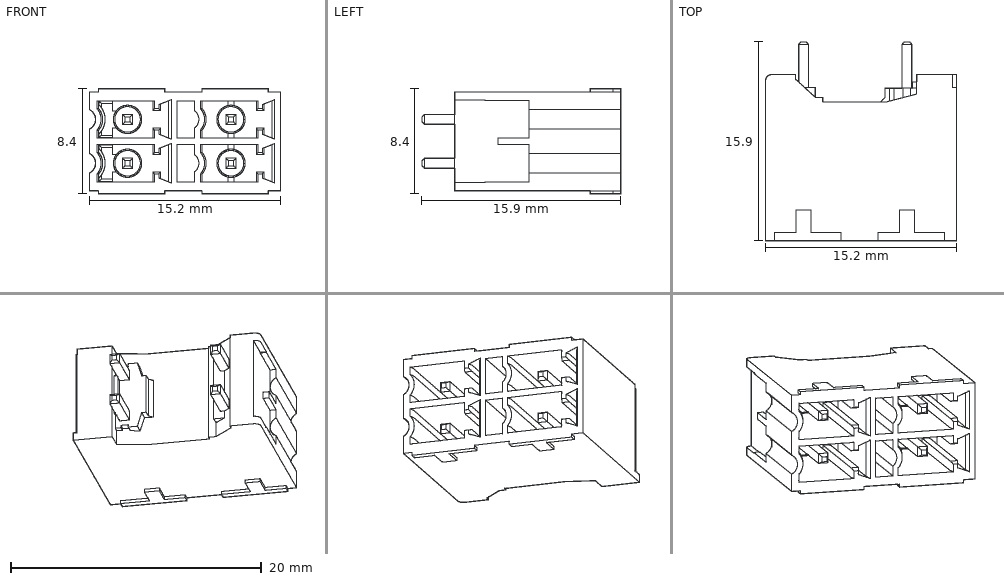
import cadquery as cq


WIDTH = 15.24
DEPTH = 13.27
HEIGHT = 7.9
LEFT = -WIDTH / 2
RIGHT = WIDTH / 2
TOP = HEIGHT / 2
BACK_CORNER_RADIUS = 0.5

PITCH_X = 8.25
PITCH_Z = 3.5
PIN_INSET = 3.04
COLUMN_EDGES = [LEFT, LEFT + PITCH_X]
ROW_CENTRES = [-PITCH_Z / 2, PITCH_Z / 2]

PIN_SIZE = 0.8
PIN_FRONT = 1.05
PIN_BACK = 15.87
PIN_TIP_INSET = 0.2
PIN_MATING_TAPER = 0.4
PIN_SOLDER_TAPER = 0.2
BOSS_RADIUS = 1.13
BOSS_LENGTH = 1.5
BOSS_CHAMFER = 0.11

KEY_HEIGHT = 0.25
KEY_INSET = 0.72
KEY_WIDTH = 5.3
KEY_BAR_DEPTH = 0.65
KEY_STEM_WIDTH = 1.22
KEY_STEM_DEPTH = 2.45

POCKET_DEPTH = 8.5
LEAD_IN = 0.45
POCKET_HALF_HEIGHT = 1.48
POCKET_LEFT = 0.59
POCKET_RIGHT = 6.3
LEFT_LEAD = 0.13
RIGHT_LEAD = 0.23
BULGE_HALF_CHORD = 0.87
BULGE_HEIGHT = 0.34
RAIL_LEFT = 5.06
RAIL_RIGHT = 5.66
RAIL_GAP = 0.7
RAIL_SIDE_LEAD = 0.12
RAIL_TIP_LEAD = 0.16
FLARE_SLOPE = 0.4

FLOOR_RECESS_DEPTH = 0.3
FLOOR_RECESS_LEFT = 0.77
FLOOR_RECESS_RIGHT = 1.85
FLOOR_RECESS_HALF_HEIGHT = 1.45
FLOOR_RECESS_TAPER = 0.18
FLOOR_BULGE_PEAK = 1.25
FLOOR_CHANNEL_HALF_HEIGHT = 0.68
FLOOR_GROOVE_WIDTH = 0.5
FLOOR_GROOVE_DEPTH = 0.2

GROOVE_RADIUS = 0.86
GROOVE_DEPTH = 0.48
GROOVE_LENGTH = 7.35
SLOT_LEFT = 6.98
SLOT_RIGHT = PITCH_X + 0.15

SIDE_RECESS_DEPTH = 0.5
SIDE_RECESS_HALF_HEIGHT = 3.24
SIDE_RECESS_BACK_HALF_HEIGHT = 3.3
SIDE_RECESS_STEP = 10.83
SIDE_RIB_HEIGHT = 0.54
SIDE_RIB_END = 9.79

NOTCH_LEFT = 2.41
NOTCH_SHOULDER = 12.89
NOTCH_RAMP_END = 3.98
NOTCH_RAMP_FLOOR = 11.44
NOTCH_STEP = 4.58
NOTCH_FLOOR = 11.09
NOTCH_RISE_START = 9.7
NOTCH_RISE_END = 11.7
NOTCH_RIGHT = 12.05

SUPPORT_HALF_HEIGHT = 2.75
SUPPORT_LOW_HALF_HEIGHT = 1.6
LEFT_SUPPORT_BACK = 12.24
RIGHT_SUPPORT_LEFT = 9.52
RIGHT_SUPPORT_BACK = 12.18
SUPPORT_SLOPE_START = 9.89
SUPPORT_SLOPE_END = 10.24
SUPPORT_FOOT = 0.33
SUPPORT_GROOVE_WIDTH = 0.6
SUPPORT_GROOVE_DEPTH = 0.2
SUPPORT_STEP_LEFT = 11.7
SUPPORT_STEP_BACK = 12.67

CORNER_NOTCH_WIDTH = 0.31
CORNER_NOTCH_FRONT = 12.24


def box(x0, x1, y0, y1, z0, z1):
    """Box given by its limits along each axis."""
    return cq.Workplane("XY").box(x1 - x0, y1 - y0, z1 - z0, centered=False).translate((x0, y0, z0))


def rod(x, z, radius, y0, y1):
    """Cylinder along Y."""
    return cq.Workplane("XZ", origin=(x, y0, z)).circle(radius).extrude(y0 - y1)


def housing_block():
    block = box(LEFT, RIGHT, 0, DEPTH, -TOP, TOP)
    return block.edges("|Z and <X and >Y").fillet(BACK_CORNER_RADIUS)


def rear_notch():
    outline = [
        (NOTCH_LEFT, PIN_BACK),
        (NOTCH_LEFT, NOTCH_SHOULDER),
        (NOTCH_RAMP_END, NOTCH_RAMP_FLOOR),
        (NOTCH_STEP, NOTCH_RAMP_FLOOR),
        (NOTCH_STEP, NOTCH_FLOOR),
        (NOTCH_RISE_START, NOTCH_FLOOR),
        (NOTCH_RIGHT, NOTCH_RISE_END),
        (NOTCH_RIGHT, PIN_BACK),
    ]
    return cq.Workplane("XY", origin=(LEFT, 0, -TOP)).polyline(outline).close().extrude(HEIGHT)


def rear_supports():
    left = box(
        LEFT + NOTCH_LEFT, LEFT + NOTCH_RAMP_END,
        NOTCH_FLOOR, LEFT_SUPPORT_BACK,
        -SUPPORT_HALF_HEIGHT, SUPPORT_HALF_HEIGHT,
    )
    section = [
        (RIGHT_SUPPORT_LEFT, -SUPPORT_LOW_HALF_HEIGHT),
        (SUPPORT_SLOPE_START, -SUPPORT_LOW_HALF_HEIGHT),
        (SUPPORT_SLOPE_END, -SUPPORT_HALF_HEIGHT),
        (NOTCH_RIGHT, -SUPPORT_HALF_HEIGHT),
        (NOTCH_RIGHT, SUPPORT_HALF_HEIGHT),
        (SUPPORT_SLOPE_END, SUPPORT_HALF_HEIGHT),
        (SUPPORT_SLOPE_START, SUPPORT_LOW_HALF_HEIGHT),
        (RIGHT_SUPPORT_LEFT, SUPPORT_LOW_HALF_HEIGHT),
    ]
    right_plane = cq.Workplane("XZ", origin=(LEFT, NOTCH_FLOOR, 0))
    right = right_plane.polyline(section).close().extrude(NOTCH_FLOOR - RIGHT_SUPPORT_BACK)
    groove_centre = COLUMN_EDGES[1] + PIN_INSET
    groove_limits = (
        groove_centre - SUPPORT_GROOVE_WIDTH / 2, groove_centre + SUPPORT_GROOVE_WIDTH / 2,
        NOTCH_FLOOR, RIGHT_SUPPORT_BACK,
    )
    groove_floor = SUPPORT_HALF_HEIGHT - SUPPORT_GROOVE_DEPTH
    right = right.cut(box(*groove_limits, groove_floor, SUPPORT_HALF_HEIGHT))
    right = right.cut(box(*groove_limits, -SUPPORT_HALF_HEIGHT, -groove_floor))
    foot_outline = [
        (RIGHT_SUPPORT_LEFT - SUPPORT_FOOT, NOTCH_FLOOR),
        (RIGHT_SUPPORT_LEFT, NOTCH_FLOOR),
        (RIGHT_SUPPORT_LEFT, NOTCH_FLOOR + SUPPORT_FOOT),
    ]
    foot_plane = cq.Workplane("XY", origin=(LEFT, 0, -SUPPORT_LOW_HALF_HEIGHT))
    foot = foot_plane.polyline(foot_outline).close().extrude(2 * SUPPORT_LOW_HALF_HEIGHT)
    step = box(
        LEFT + SUPPORT_STEP_LEFT, LEFT + NOTCH_RIGHT,
        NOTCH_FLOOR, SUPPORT_STEP_BACK,
        -SUPPORT_LOW_HALF_HEIGHT, SUPPORT_LOW_HALF_HEIGHT,
    )
    return left.union(right).union(foot).union(step)


def side_recess():
    inner = LEFT + SIDE_RECESS_DEPTH
    front = box(
        LEFT, inner, GROOVE_LENGTH, SIDE_RECESS_STEP,
        -SIDE_RECESS_HALF_HEIGHT, SIDE_RECESS_HALF_HEIGHT,
    )
    back = box(
        LEFT, inner, SIDE_RECESS_STEP, DEPTH,
        -SIDE_RECESS_BACK_HALF_HEIGHT, SIDE_RECESS_BACK_HALF_HEIGHT,
    )
    rib = box(LEFT, inner, GROOVE_LENGTH, SIDE_RIB_END, -SIDE_RIB_HEIGHT / 2, SIDE_RIB_HEIGHT / 2)
    return front.union(back).cut(rib)


def corner_notch():
    return box(
        RIGHT - CORNER_NOTCH_WIDTH, RIGHT,
        CORNER_NOTCH_FRONT, DEPTH,
        -SIDE_RECESS_BACK_HALF_HEIGHT, TOP,
    )


def key(edge, side):
    """T-shaped key of one column; side is +1 for the top, -1 for the bottom."""
    z0, z1 = sorted([side * TOP, side * (TOP + KEY_HEIGHT)])
    bar = box(edge + KEY_INSET, edge + KEY_INSET + KEY_WIDTH, 0, KEY_BAR_DEPTH, z0, z1)
    stem_left = edge + PIN_INSET - KEY_STEM_WIDTH / 2
    return bar.union(box(stem_left, stem_left + KEY_STEM_WIDTH, 0, KEY_STEM_DEPTH, z0, z1))


def pocket_section(edge, row, y, opening):
    """Pocket outline at depth y; opening is 1 at the mouth and 0 past the lead-in."""
    left = POCKET_LEFT + LEFT_LEAD * (1 - opening)
    right = POCKET_RIGHT + RIGHT_LEAD * opening
    rail_left = RAIL_LEFT + RAIL_SIDE_LEAD * opening
    rail_right = RAIL_RIGHT - RAIL_SIDE_LEAD * opening
    rail_tip = RAIL_GAP + RAIL_TIP_LEAD * opening
    rail_flare = POCKET_HALF_HEIGHT - FLARE_SLOPE * (POCKET_RIGHT - rail_right)
    right_corner = POCKET_HALF_HEIGHT + FLARE_SLOPE * (right - POCKET_RIGHT)
    upper = [
        (left, BULGE_HALF_CHORD),
        (left, POCKET_HALF_HEIGHT),
        (rail_left, POCKET_HALF_HEIGHT),
        (rail_left, rail_tip),
        (rail_right, rail_tip),
        (rail_right, rail_flare),
        (right, right_corner),
    ]
    lower = [(x, -z) for x, z in reversed(upper)]
    outline = cq.Workplane("XZ", origin=(edge, y, row)).polyline(upper + lower)
    return outline.threePointArc((left + BULGE_HEIGHT, 0), upper[0]).close()


def pocket(edge, row):
    mouth = pocket_section(edge, row, 0, 1).val()
    throat = pocket_section(edge, row, LEAD_IN, 0)
    lead_in = cq.Workplane(cq.Solid.makeLoft([mouth, throat.val()], True))
    return lead_in.union(throat.extrude(LEAD_IN - POCKET_DEPTH))


def tapered_floor_recess(edge, row):
    """Floor recess of the left column, tapered on three sides, with a channel to the boss."""
    floor_end = POCKET_DEPTH + FLOOR_RECESS_DEPTH
    right = edge + FLOOR_RECESS_RIGHT
    sections = []
    for y, inset in [(POCKET_DEPTH, 0), (floor_end, FLOOR_RECESS_TAPER)]:
        left = edge + FLOOR_RECESS_LEFT + inset
        half_height = FLOOR_RECESS_HALF_HEIGHT - inset
        plane = cq.Workplane("XZ", origin=((left + right) / 2, y, row))
        sections.append(plane.rect(right - left, 2 * half_height).wires().val())
    recess = cq.Workplane(cq.Solid.makeLoft(sections, True))
    channel = box(
        right, edge + PIN_INSET, POCKET_DEPTH, floor_end,
        row - FLOOR_CHANNEL_HALF_HEIGHT, row + FLOOR_CHANNEL_HALF_HEIGHT,
    )
    bulge_x = edge + GROOVE_DEPTH - GROOVE_RADIUS
    bulge_radius = edge + FLOOR_BULGE_PEAK - bulge_x
    return recess.union(channel).cut(rod(bulge_x, row, bulge_radius, POCKET_DEPTH, floor_end))


def cross_floor_groove(edge, row):
    """Shallow upright groove across the pocket floor of the right column."""
    centre = edge + PIN_INSET
    return box(
        centre - FLOOR_GROOVE_WIDTH / 2, centre + FLOOR_GROOVE_WIDTH / 2,
        POCKET_DEPTH, POCKET_DEPTH + FLOOR_GROOVE_DEPTH,
        row - POCKET_HALF_HEIGHT, row + POCKET_HALF_HEIGHT,
    )


def coding_groove(edge, row):
    return rod(edge + GROOVE_DEPTH - GROOVE_RADIUS, row, GROOVE_RADIUS, 0, GROOVE_LENGTH)


def column_slot(row):
    """Slot between the columns, hollowed by the coding groove of the right column."""
    slot = box(
        LEFT + SLOT_LEFT, LEFT + SLOT_RIGHT, 0, GROOVE_LENGTH,
        row - POCKET_HALF_HEIGHT, row + POCKET_HALF_HEIGHT,
    )
    return slot.union(coding_groove(COLUMN_EDGES[1], row))


def pin_boss(x, row):
    boss = rod(x, row, BOSS_RADIUS, POCKET_DEPTH - BOSS_LENGTH, NOTCH_FLOOR)
    return boss.faces("<Y").chamfer(BOSS_CHAMFER)


def pin(x, row):
    """Square pin tapered at both ends."""
    stations = [
        (PIN_FRONT, PIN_SIZE - 2 * PIN_TIP_INSET),
        (PIN_FRONT + PIN_MATING_TAPER, PIN_SIZE),
        (PIN_BACK - PIN_SOLDER_TAPER, PIN_SIZE),
        (PIN_BACK, PIN_SIZE - 2 * PIN_TIP_INSET),
    ]
    sections = []
    for y, size in stations:
        sections.append(cq.Workplane("XZ", origin=(x, y, row)).rect(size, size).wires().val())
    return cq.Workplane(cq.Solid.makeLoft(sections, True))


def build():
    part = housing_block().cut(rear_notch()).union(rear_supports())
    part = part.cut(side_recess()).cut(corner_notch())
    for edge in COLUMN_EDGES:
        for side in (1, -1):
            part = part.union(key(edge, side))
    for row in ROW_CENTRES:
        part = part.cut(coding_groove(COLUMN_EDGES[0], row)).cut(column_slot(row))
        part = part.cut(tapered_floor_recess(COLUMN_EDGES[0], row))
        part = part.cut(cross_floor_groove(COLUMN_EDGES[1], row))
        for edge in COLUMN_EDGES:
            pin_x = edge + PIN_INSET
            part = part.cut(pocket(edge, row))
            part = part.union(pin_boss(pin_x, row)).union(pin(pin_x, row))
    return part


result = build()